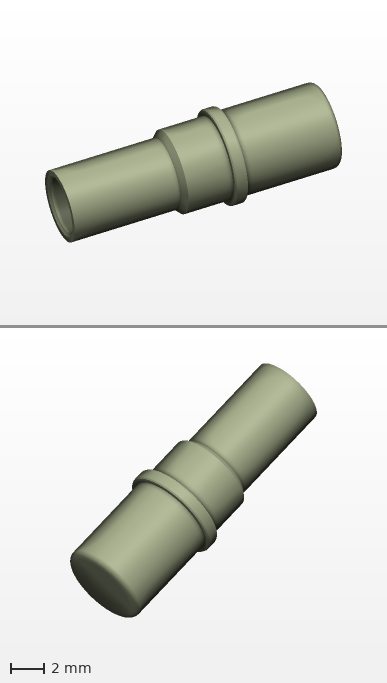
import cadquery as cq
import math

length = 17.46
front_y = -length / 2
back_y = length / 2

barrel_radius = 2.28
shoulder_radius = 2.67
flange_radius = 3.05
body_radius = 2.71

body_length = 6.41
flange_thickness = 0.82
shoulder_length = 2.93
back_fillet = 0.4
flange_bevel_length = 0.1
flange_bevel_depth = 0.05

flange_back_y = back_y - body_length
flange_front_y = flange_back_y - flange_thickness
taper_back_y = flange_front_y - shoulder_length
taper_front_y = taper_back_y - (shoulder_radius - barrel_radius)

bore_radius = 1.75
bore_mouth_radius = 1.92
bore_depth = 9.0
drill_point_angle = 118.0

inspection_radius = 0.53
inspection_y = flange_front_y - 2.03


def make_outside():
    """Revolve the stepped outline, then round the back rim."""
    bevel_radius = flange_radius - flange_bevel_depth
    outline = (
        cq.Workplane("XY")
        .moveTo(0, front_y)
        .lineTo(barrel_radius, front_y)
        .lineTo(barrel_radius, taper_front_y)
        .lineTo(shoulder_radius, taper_back_y)
        .lineTo(shoulder_radius, flange_front_y)
        .lineTo(bevel_radius, flange_front_y)
        .lineTo(flange_radius, flange_front_y + flange_bevel_length)
        .lineTo(flange_radius, flange_back_y - flange_bevel_length)
        .lineTo(bevel_radius, flange_back_y)
        .lineTo(body_radius, flange_back_y)
        .lineTo(body_radius, back_y)
        .lineTo(0, back_y)
        .close()
    )
    outside = outline.revolve(360, (0, 0, 0), (0, 1, 0))
    return outside.faces(">Y").edges().fillet(back_fillet)


def make_bore():
    """Drilled bore with a 45 degree countersunk mouth and a conical end."""
    mouth_depth = bore_mouth_radius - bore_radius
    point_length = bore_radius / math.tan(math.radians(drill_point_angle / 2))
    outline = (
        cq.Workplane("XY")
        .moveTo(0, front_y)
        .lineTo(bore_mouth_radius, front_y)
        .lineTo(bore_radius, front_y + mouth_depth)
        .lineTo(bore_radius, front_y + bore_depth)
        .lineTo(0, front_y + bore_depth + point_length)
        .close()
    )
    return outline.revolve(360, (0, 0, 0), (0, 1, 0))


def make_inspection_hole():
    """Radial hole running from the bore axis out through the -Z side."""
    return (
        cq.Workplane("XY")
        .center(0, inspection_y)
        .circle(inspection_radius)
        .extrude(-flange_radius)
    )


result = make_outside().cut(make_bore()).cut(make_inspection_hole())